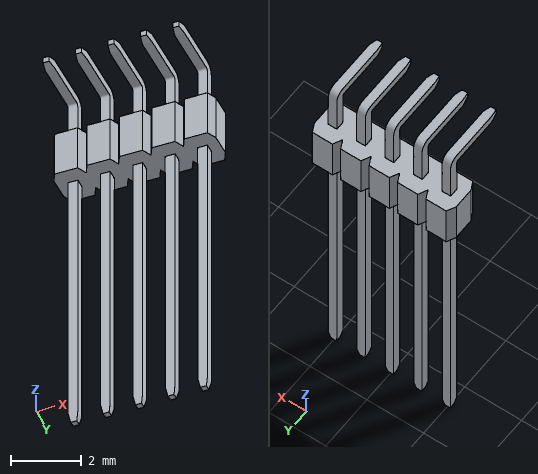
import cadquery as cq


total_height = 12.15
total_depth = 2.8
pin_count = 5
row_length = 5.0
pitch = row_length / pin_count

body_depth = 1.3
body_height = 1.51
top_leg_height = 1.65
body_top = total_height - top_leg_height
notch_width = 0.15
notch_depth = 0.29

pin_size = 0.3
tip_length = 0.29
tip_size = 0.2
front_reach = total_depth - body_depth / 2
outer_bend_radius = 0.3
inner_bend_radius = 0.09


def body_cell(x):
    """Insulator cell around one pin: a block with its four vertical edges cut off."""
    half_pitch = pitch / 2
    half_depth = body_depth / 2
    flat_x = half_pitch - notch_width
    flat_y = half_depth - notch_depth
    outline = [
        (-half_pitch, -flat_y),
        (-flat_x, -half_depth),
        (flat_x, -half_depth),
        (half_pitch, -flat_y),
        (half_pitch, flat_y),
        (flat_x, half_depth),
        (-flat_x, half_depth),
        (-half_pitch, flat_y),
    ]
    cell = cq.Workplane("XY").polyline(outline).close().extrude(body_height)
    return cell.translate((x, 0, body_top - body_height))


def tapered_tip(plane):
    """Square tip that narrows from the pin section along the plane normal."""
    return (
        cq.Workplane(plane)
        .rect(pin_size, pin_size)
        .workplane(offset=tip_length)
        .rect(tip_size, tip_size)
        .loft(ruled=True)
    )


def bent_pin(x):
    """Pin with a long vertical leg, a bend at the top and a short leg toward -Y."""
    half_pin = pin_size / 2
    leg_end = -(front_reach - tip_length)
    leg_bottom = total_height - pin_size
    profile = [
        (-half_pin, tip_length),
        (half_pin, tip_length),
        (half_pin, total_height),
        (leg_end, total_height),
        (leg_end, leg_bottom),
        (-half_pin, leg_bottom),
    ]
    pin = cq.Workplane("YZ").polyline(profile).close().extrude(half_pin, both=True)

    outer_corner = cq.NearestToPointSelector((0, half_pin, total_height))
    inner_corner = cq.NearestToPointSelector((0, -half_pin, leg_bottom))
    pin = pin.edges("|X").edges(outer_corner).fillet(outer_bend_radius)
    pin = pin.edges("|X").edges(inner_corner).fillet(inner_bend_radius)

    bottom_plane = cq.Plane(origin=(0, 0, tip_length), xDir=(1, 0, 0), normal=(0, 0, -1))
    front_plane = cq.Plane(
        origin=(0, leg_end, total_height - half_pin), xDir=(1, 0, 0), normal=(0, -1, 0)
    )
    pin = pin.union(tapered_tip(bottom_plane)).union(tapered_tip(front_plane))
    return pin.translate((x, 0, 0))


pin_positions = [(index - (pin_count - 1) / 2) * pitch for index in range(pin_count)]

result = body_cell(pin_positions[0])
for position in pin_positions[1:]:
    result = result.union(body_cell(position))
for position in pin_positions:
    result = result.union(bent_pin(position))
result = result.clean()